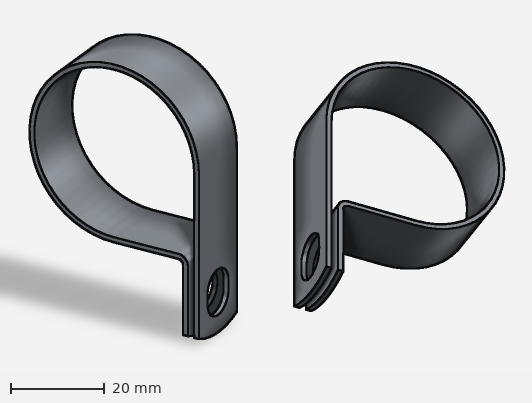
import cadquery as cq

loop_diameter = 42.1
total_height = 61.45
strap_width = 15.85
thickness = 1.2
tab_gap = 1.55
bend_inner_radius = 1.15
hole_diameter = 8.8
slot_length = 10.75
hole_height = 9.5
end_arc_height = 1.65

outer_radius = loop_diameter / 2
inner_radius = outer_radius - thickness
bottom = outer_radius - total_height
tab_outer_x = outer_radius - thickness - tab_gap
tab_inner_x = tab_outer_x - thickness
bend_outer_radius = bend_inner_radius + thickness
bend_x = tab_outer_x - bend_outer_radius
bend_z = -inner_radius - bend_outer_radius
half_width = strap_width / 2


def bent_strap():
    """Strap of constant thickness: long leg, three-quarter loop, flat floor and short tab."""
    return (
        cq.Workplane("XZ")
        .moveTo(outer_radius, bottom)
        .lineTo(outer_radius, 0)
        .radiusArc((0, outer_radius), -outer_radius)
        .radiusArc((-outer_radius, 0), -outer_radius)
        .radiusArc((0, -outer_radius), -outer_radius)
        .lineTo(bend_x, -outer_radius)
        .radiusArc((tab_inner_x, bend_z), bend_inner_radius)
        .lineTo(tab_inner_x, bottom)
        .lineTo(tab_outer_x, bottom)
        .lineTo(tab_outer_x, bend_z)
        .radiusArc((bend_x, -inner_radius), -bend_outer_radius)
        .lineTo(0, -inner_radius)
        .radiusArc((-inner_radius, 0), inner_radius)
        .radiusArc((0, inner_radius), inner_radius)
        .radiusArc((inner_radius, 0), inner_radius)
        .lineTo(inner_radius, bottom)
        .close()
        .extrude(half_width, both=True)
    )


def rounded_end_envelope():
    """Block around the strap whose underside is the arc of the tab ends."""
    return (
        cq.Workplane("YZ")
        .moveTo(-half_width, bottom + end_arc_height)
        .threePointArc((0, bottom), (half_width, bottom + end_arc_height))
        .lineTo(half_width, outer_radius)
        .lineTo(-half_width, outer_radius)
        .close()
        .extrude(outer_radius, both=True)
    )


def fastener_plane(start_x):
    """Workplane facing +X at the fastener height."""
    return cq.Workplane("YZ", origin=(start_x, 0, bottom + hole_height))


def tab_hole():
    """Round hole through the short tab."""
    return fastener_plane(tab_inner_x).circle(hole_diameter / 2).extrude(thickness)


def leg_slot():
    """Vertical slot through the long leg, as wide as the round hole."""
    return fastener_plane(inner_radius).slot2D(slot_length, hole_diameter, 90).extrude(thickness)


result = bent_strap().intersect(rounded_end_envelope()).cut(tab_hole()).cut(leg_slot())